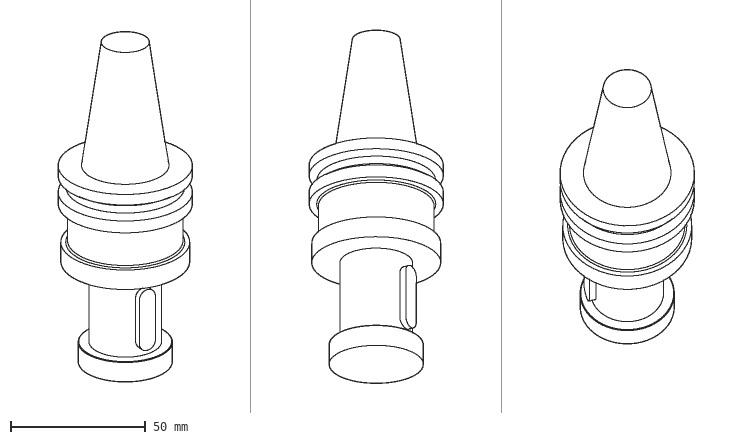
import cadquery as cq

total_height = 131.8
flange_top = 80.9
groove_upper_edge = 76.6
groove_lower_edge = 70.0
flange_bottom = 65.1
collar_top = 49.3
collar_bottom = 41.3
cap_top = 8.3

taper_top_diameter = 17.9
taper_base_diameter = 32.5
flange_diameter = 50.0
groove_diameter = 44.0
neck_diameter = 43.0
collar_diameter = 48.0
arbor_diameter = 27.0
cap_diameter = 35.0

upper_wall_height = 1.7
lower_wall_height = 1.2
groove_chamfer = 0.7
neck_flare = 0.7
cap_chamfer = 0.3

key_bottom = 11.1
key_top = 36.1
key_width = 7.0
key_outer_x = 15.7
key_inner_x = 10.5


def make_body():
    """Revolve the half profile of the holder about Z."""
    taper_top_radius = taper_top_diameter / 2
    taper_base_radius = taper_base_diameter / 2
    flange_radius = flange_diameter / 2
    groove_radius = groove_diameter / 2
    neck_radius = neck_diameter / 2
    collar_radius = collar_diameter / 2
    arbor_radius = arbor_diameter / 2
    cap_radius = cap_diameter / 2
    profile = [
        (0, 0),
        (cap_radius, 0),
        (cap_radius, cap_top - cap_chamfer),
        (cap_radius - cap_chamfer, cap_top),
        (arbor_radius, cap_top),
        (arbor_radius, collar_bottom),
        (collar_radius, collar_bottom),
        (collar_radius, collar_top),
        (neck_radius + neck_flare, collar_top),
        (neck_radius, collar_top + neck_flare),
        (neck_radius, flange_bottom - neck_flare),
        (neck_radius + neck_flare, flange_bottom),
        (flange_radius, flange_bottom),
        (flange_radius, groove_lower_edge),
        (groove_radius + groove_chamfer, groove_lower_edge + lower_wall_height),
        (groove_radius, groove_lower_edge + lower_wall_height + groove_chamfer),
        (groove_radius, groove_upper_edge - upper_wall_height),
        (flange_radius, groove_upper_edge),
        (flange_radius, flange_top),
        (taper_base_radius, flange_top),
        (taper_top_radius, total_height),
        (0, total_height),
    ]
    return cq.Workplane("XZ").polyline(profile).close().revolve(360, (0, 0), (0, 1))


def make_key():
    """Extrude the round-ended key outward from inside the arbor."""
    return (
        cq.Workplane("YZ", origin=(key_inner_x, 0, (key_bottom + key_top) / 2))
        .slot2D(key_top - key_bottom, key_width, 90)
        .extrude(key_outer_x - key_inner_x)
    )


result = make_body().union(make_key())